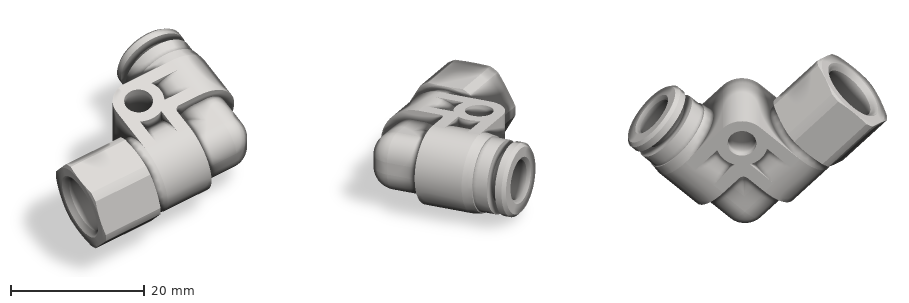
import cadquery as cq
import math


sleeve_radius = 6.18
sleeve_far = 12.18
sleeve_near = 4.4
inner_corner_radius = 0.9

pin_hole_radius = 2.15
boss_radius = (sleeve_far - sleeve_near) / 2
pin_centre = -(sleeve_far + sleeve_near) / 2
rib_width = 2.0

elbow_half_width = 4.5
elbow_edge_radius = 3.55
elbow_embed = 1.5

collar_end = 13.8
collar_end_radius = 5.9

cartridge_end = 16.15
neck_end = 17.5
tube_end = 19.08
cartridge_radius = 5.7
neck_radius = 3.95
release_chamfer = 0.5

overall_length = 30.0
port_end = overall_length - sleeve_radius
hex_flats = 13.0
hex_corner_radius = 7.1
hex_face_radius = 6.45
hex_chamfer_angle = 15

tube_bore_radius = 3.1
tube_mouth_radius = 3.6
tube_stop = 4.4
passage_radius = 2.52

thread_radius = 4.3
thread_mouth_radius = 5.1
thread_end = 13.8
seat_radius = 3.3
pilot_radius = 3.0
orifice_radius = 1.98
orifice_depth = sleeve_near
drill_point_angle = 118


def revolve_profile(profile):
    """Turn an open (distance, radius) profile about the +X axis."""
    first_distance = profile[0][0]
    last_distance = profile[-1][0]
    outline = [(first_distance, 0)] + profile + [(last_distance, 0)]
    return cq.Workplane("XY").polyline(outline).close().revolve(360, (0, 0, 0), (1, 0, 0))


def along_tube(solid):
    """Turn a part made along +X onto the tube side, along -X."""
    return solid.rotate((0, 0, 0), (0, 0, 1), 180)


def along_port(solid):
    """Turn a part made along +X onto the port side, along -Y."""
    return solid.rotate((0, 0, 0), (0, 0, 1), -90)


def swap_axes(solid):
    """Mirror across the plane x = y, from the tube side to the port side."""
    return solid.mirror("XZ").rotate((0, 0, 0), (0, 0, 1), 90)


def pin_cylinder(radius):
    """Full-thickness cylinder along Z on the pin hole axis."""
    centre = (pin_centre, pin_centre)
    return cq.Workplane("XY").center(*centre).circle(radius).extrude(sleeve_radius, both=True)


def make_web():
    """L-shaped plate as thick as the sleeves, rounded around the pin hole."""
    outline = [
        (-sleeve_far, -sleeve_far),
        (0, -sleeve_far),
        (0, -sleeve_near),
        (-sleeve_near, -sleeve_near),
        (-sleeve_near, 0),
        (-sleeve_far, 0),
    ]
    web = cq.Workplane("XY").polyline(outline).close().extrude(sleeve_radius, both=True)
    outer_corner = cq.selectors.NearestToPointSelector((-sleeve_far, -sleeve_far, 0))
    inner_corner = cq.selectors.NearestToPointSelector((-sleeve_near, -sleeve_near, 0))
    web = web.edges("|Z").edges(outer_corner).fillet(boss_radius)
    return web.edges("|Z").edges(inner_corner).fillet(inner_corner_radius)


def make_window():
    """Block between the two ribs of the tube sleeve, reaching the pin axis."""
    width = 2 * (boss_radius - rib_width)
    return cq.Workplane("XY").box(width, -pin_centre, 2 * sleeve_radius).translate(
        (pin_centre, pin_centre / 2, 0)
    )


def make_sleeve():
    """Round sleeve with its tapered collar, along +X."""
    return revolve_profile([
        (sleeve_near, sleeve_radius),
        (sleeve_far, sleeve_radius),
        (collar_end, collar_end_radius),
    ])


def make_elbow_bar():
    """Rounded square bar along -X, fully rounded at the outer corner of the elbow."""
    length = sleeve_near + elbow_embed + elbow_half_width
    width = 2 * elbow_half_width
    bar = cq.Workplane("XY").box(length, width, width)
    bar = bar.edges("not <X").fillet(elbow_edge_radius)
    return bar.translate((elbow_half_width - length / 2, 0, 0))


def make_tube_end():
    """Cartridge, neck and chamfered release ring, along +X."""
    return revolve_profile([
        (sleeve_near, cartridge_radius),
        (cartridge_end, cartridge_radius),
        (cartridge_end, neck_radius),
        (neck_end, neck_radius),
        (neck_end, cartridge_radius),
        (tube_end - release_chamfer, cartridge_radius),
        (tube_end, cartridge_radius - release_chamfer),
    ])


def make_hex_end():
    """Hexagon along +X with its corners turned and both faces chamfered."""
    length = port_end - collar_end
    hexagon = (
        cq.Workplane("YZ", origin=(collar_end, 0, 0))
        .polygon(6, hex_flats / math.cos(math.pi / 6))
        .extrude(length)
    )
    chamfer = (hex_corner_radius - hex_face_radius) * math.tan(math.radians(hex_chamfer_angle))
    envelope = revolve_profile([
        (collar_end, hex_face_radius),
        (collar_end + chamfer, hex_corner_radius),
        (port_end - chamfer, hex_corner_radius),
        (port_end, hex_face_radius),
    ])
    return hexagon.intersect(envelope)


def make_tube_bore():
    """Stepped bore along +X with a round inner end and a chamfered mouth."""
    mouth_depth = tube_mouth_radius - tube_bore_radius
    bore = revolve_profile([
        (0, passage_radius),
        (tube_stop, passage_radius),
        (tube_stop, tube_bore_radius),
        (tube_end - mouth_depth, tube_bore_radius),
        (tube_end, tube_mouth_radius),
    ])
    return bore.union(cq.Workplane("XY").sphere(passage_radius))


def make_port_bore():
    """Orifice, drill cone, pilot bore, seat and threaded bore, along +X."""
    mouth_depth = thread_mouth_radius - thread_radius
    seat_depth = seat_radius - pilot_radius
    cone_depth = (pilot_radius - orifice_radius) / math.tan(math.radians(drill_point_angle / 2))
    return revolve_profile([
        (0, orifice_radius),
        (orifice_depth, orifice_radius),
        (orifice_depth + cone_depth, pilot_radius),
        (thread_end - seat_depth, pilot_radius),
        (thread_end, seat_radius),
        (thread_end, thread_radius),
        (port_end - mouth_depth, thread_radius),
        (port_end, thread_mouth_radius),
    ])


window = make_window()
body = make_web().cut(window).cut(swap_axes(window)).union(pin_cylinder(boss_radius))

sleeve = make_sleeve()
body = body.union(along_tube(sleeve)).union(along_port(sleeve))
elbow_bar = make_elbow_bar()
body = body.union(elbow_bar).union(swap_axes(elbow_bar))

body = body.union(along_tube(make_tube_end())).union(along_port(make_hex_end()))

body = body.cut(along_tube(make_tube_bore())).cut(along_port(make_port_bore()))
result = body.cut(pin_cylinder(pin_hole_radius))